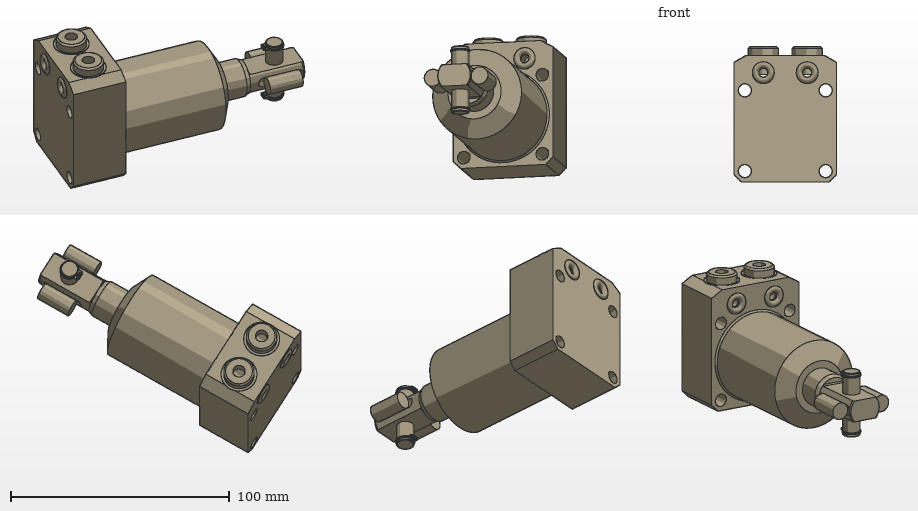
import cadquery as cq
import math


block_width = 47.0
block_length = 25.9
block_bottom = -23.5
block_top = 34.5
top_bevel_width = 5.6
top_bevel_drop = 3.2
bottom_bevel = 3.4
mount_hole_radius = 2.9
mount_hole_spacing = 36.9

barrel_radius = 20.9
barrel_flare = 0.9
barrel_cone_start = 76.7
barrel_end = 81.4
barrel_end_radius = 12.5

port_spacing = 20.0
port_z = 26.5
channel_radius = 2.1
bead_tube_radius = 3.0 / 2
bead_mean_radius = 3.5
bead_stand_out = 0.9
bead_bite = 0.06
bead_inset = bead_tube_radius - bead_stand_out
seat_radius = bead_mean_radius + bead_tube_radius - bead_bite
seat_depth = bead_inset + bead_tube_radius - bead_bite

plug_y = block_length / 2
plug_head_radius = 7.0
plug_head_top = block_top + 3.9
plug_bevel = 0.9
plug_shank_radius = 4.9
plug_shank_bottom = 25.7
spotface_radius = 8.2
spotface_depth = 0.4
spotface_z = block_top - spotface_depth
socket_radius = 2.8
socket_depth = 4.9
socket_tip_angle = 118
socket_tip_depth = socket_radius / math.tan(math.radians(socket_tip_angle / 2))

rod_radius = 18.0 / 2
neck_radius = 8.0
rod_bevel_start = 92.2
rod_shoulder = 94.4
rod_tip = 122.2 - bead_stand_out
rod_tip_bevel = 0.4
rod_tip_bevel_length = 0.9
tongue_half_height = 5.0
tongue_root_bevel = 0.6

pin_y = rod_tip - 12.0
pin_radius = 4.0
pin_half_length = 15.3
pin_bevel = 0.4
groove_radius = 3.8
clip_height = 13.6
clip_thickness = 0.6
clip_radius = 4.4
clip_gap = 0.4
lug_reach = 6.0
lug_width = 4.6
lug_corner_radius = 1.1
lug_hole_radius = 0.5
lug_hole_x = 1.1
lug_hole_y = pin_y - 5.0

roller_radius = 8.0 / 2
roller_length = 16.3
roller_x = 11.0
roller_start = pin_y - roller_length / 2
pocket_radius = 8.4 / 2

sides = (-1, 1)


def cylinder_y(radius, start, length, x=0, z=0):
    return cq.Workplane(cq.Solid.makeCylinder(radius, length, cq.Vector(x, start, z), cq.Vector(0, 1, 0)))


def cylinder_z(radius, start, length, x=0, y=0):
    return cq.Workplane(cq.Solid.makeCylinder(radius, length, cq.Vector(x, y, start), cq.Vector(0, 0, 1)))


def turned_about_y(profile):
    """Revolve a closed (radius, Y) outline about the Y axis."""
    return cq.Workplane("XY").polyline(profile).close().revolve(360, (0, 0, 0), (0, 1, 0))



def make_block():
    half_width = block_width / 2
    outline = [
        (-half_width + bottom_bevel, block_bottom),
        (half_width - bottom_bevel, block_bottom),
        (half_width, block_bottom + bottom_bevel),
        (half_width, block_top - top_bevel_drop),
        (half_width - top_bevel_width, block_top),
        (-half_width + top_bevel_width, block_top),
        (-half_width, block_top - top_bevel_drop),
        (-half_width, block_bottom + bottom_bevel),
    ]
    block = cq.Workplane("XZ").polyline(outline).close().extrude(-block_length)
    hole_offset = mount_hole_spacing / 2
    for x_side in sides:
        for z_side in sides:
            block = block.cut(
                cylinder_y(mount_hole_radius, 0, block_length, x_side * hole_offset, z_side * hole_offset)
            )
    return block


def make_barrel():
    return turned_about_y([
        (0, block_length),
        (barrel_radius + barrel_flare, block_length),
        (barrel_radius, block_length + barrel_flare),
        (barrel_radius, barrel_cone_start),
        (barrel_end_radius, barrel_end),
        (0, barrel_end),
    ])


def cut_port(body, x):
    """Channel along Y with a bead seat at each end, and the plug spotface on top."""
    body = body.cut(cylinder_y(channel_radius, 0, block_length, x, port_z))
    for seat_start in (0, block_length - seat_depth):
        body = body.cut(cylinder_y(seat_radius, seat_start, seat_depth, x, port_z))
    return body.cut(cylinder_z(spotface_radius, spotface_z, spotface_depth, x, plug_y))


def make_plug(x):
    """Round plug whose shank reaches down into the channel."""
    head = cylinder_z(plug_head_radius, spotface_z, plug_head_top - spotface_z, x, plug_y)
    head = head.faces(">Z").chamfer(plug_bevel)
    shank = cylinder_z(plug_shank_radius, plug_shank_bottom, spotface_z - plug_shank_bottom, x, plug_y)
    return head.union(shank)


def make_socket(x):
    """Round socket with a conical bottom, to be cut into a plug from the top."""
    socket_floor = plug_head_top - socket_depth
    socket = cylinder_z(socket_radius, socket_floor, socket_depth, x, plug_y)
    tip = cq.Workplane(
        cq.Solid.makeCone(
            socket_radius, 0, socket_tip_depth, cq.Vector(x, plug_y, socket_floor), cq.Vector(0, 0, -1)
        )
    )
    return socket.union(tip)


def make_bead(x, y):
    return cq.Workplane(
        cq.Solid.makeTorus(bead_mean_radius, bead_tube_radius, cq.Vector(x, y, port_z), cq.Vector(0, 1, 0))
    )


def make_housing():
    housing = make_block().union(make_barrel())
    for side in sides:
        port_x = side * port_spacing / 2
        housing = cut_port(housing, port_x).union(make_plug(port_x)).cut(make_socket(port_x))
        for bead_y in (bead_inset, block_length - bead_inset):
            housing = housing.union(make_bead(port_x, bead_y))
    return housing



def make_pocket(side):
    """Round-ended trough that gives a roller clearance all round."""
    pocket_x = side * roller_x
    pocket = cylinder_y(pocket_radius, roller_start, roller_length, pocket_x)
    for end_y in (roller_start, roller_start + roller_length):
        pocket = pocket.union(cq.Workplane("XY").sphere(pocket_radius).translate((pocket_x, end_y, 0)))
    return pocket


def make_tongue_relief(side):
    """Material removed above or below the tongue, leaving a small bevel at its root."""
    profile = [
        (rod_shoulder, side * rod_radius),
        (rod_shoulder, side * (tongue_half_height + tongue_root_bevel)),
        (rod_shoulder + tongue_root_bevel, side * tongue_half_height),
        (rod_tip, side * tongue_half_height),
        (rod_tip, side * rod_radius),
    ]
    return cq.Workplane("YZ").polyline(profile).close().extrude(rod_radius, both=True)


def make_rod():
    rod = turned_about_y([
        (0, barrel_end),
        (rod_radius, barrel_end),
        (rod_radius, rod_bevel_start),
        (neck_radius, rod_shoulder),
        (neck_radius, rod_tip - rod_tip_bevel_length),
        (neck_radius - rod_tip_bevel, rod_tip),
        (0, rod_tip),
    ])
    for side in sides:
        rod = rod.cut(make_tongue_relief(side)).cut(make_pocket(side))
    return rod.cut(cylinder_z(pin_radius, -pin_half_length, 2 * pin_half_length, y=pin_y))



def clip_disc(radius, side):
    """Disc about the pin axis, as thick as a retaining ring and level with the one on that side."""
    return cylinder_z(radius, side * clip_height - clip_thickness / 2, clip_thickness, y=pin_y)


def make_pin():
    pin = cylinder_z(pin_radius, -pin_half_length, 2 * pin_half_length, y=pin_y)
    pin = pin.faces("<Z or >Z").chamfer(pin_bevel)
    for side in sides:
        pin = pin.cut(clip_disc(pin_radius, side).cut(clip_disc(groove_radius, side)))
    return pin


def make_clip(side):
    """Retaining ring, split between two drilled lugs on its -Y side."""
    start = side * clip_height - clip_thickness / 2
    lug_plane = cq.Workplane("XY", origin=(0, pin_y - lug_reach / 2, start))
    lugs = lug_plane.rect(lug_width, lug_reach).extrude(clip_thickness)
    lugs = lugs.edges("|Z and <Y").fillet(lug_corner_radius)
    gap = lug_plane.rect(clip_gap, lug_reach).extrude(clip_thickness)
    clip = clip_disc(clip_radius, side).union(lugs).cut(clip_disc(groove_radius, side)).cut(gap)
    for lug_side in sides:
        hole = cylinder_z(lug_hole_radius, start, clip_thickness, lug_side * lug_hole_x, lug_hole_y)
        clip = clip.cut(hole)
    return clip


def make_roller(side):
    return cylinder_y(roller_radius, roller_start, roller_length, side * roller_x)



housing = make_housing()
rod = make_rod()
pin = make_pin()
clips = [make_clip(side).val() for side in sides]
rollers = [make_roller(side).val() for side in sides]

result = cq.Compound.makeCompound([housing.val(), rod.val(), pin.val(), *clips, *rollers])